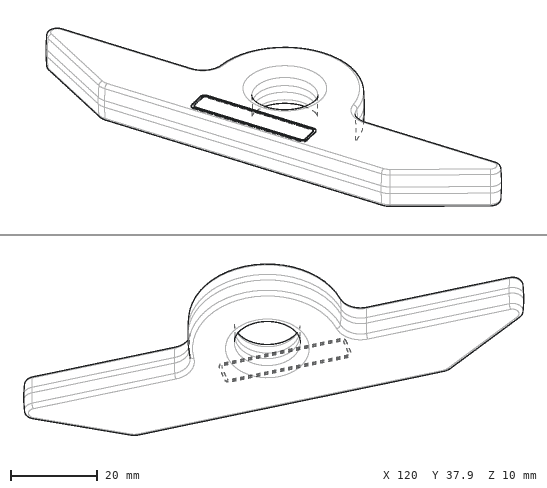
import cadquery as cq
import math

length = 120.0
thickness = 10.0
band_height = 1.8
draft_angle = 3.0
eye_radius = 18.4
hole_diameter = 15.0
bottom_y = -19.5
shoulder_y = -2.5
slope_angle = 30.0
neck_radius = 4.8
tip_radius = 2.6
bottom_corner_radius = 4.0
rim_radius = 1.0
hole_rim_radius = 2.0

frame_length = 30.5
frame_width = 6.2
frame_groove = 0.6
frame_depth = 0.2
frame_corner_radius = 1.1
frame_y = -14.5

half_length = length / 2
half_thickness = thickness / 2
half_band = band_height / 2
draft_height = half_thickness - half_band
hole_radius = hole_diameter / 2
slope = math.radians(slope_angle)
tip_x = half_length - tip_radius + tip_radius / math.tan(slope / 2)
bottom_corner_x = tip_x - (shoulder_y - bottom_y) / math.tan(slope)


def wing_bar():
    """Bar with sloped ends, up to half the band height, corners rounded."""
    bar = (
        cq.Workplane("XY")
        .polyline([
            (-tip_x, shoulder_y),
            (-bottom_corner_x, bottom_y),
            (bottom_corner_x, bottom_y),
            (tip_x, shoulder_y),
        ])
        .close()
        .extrude(half_band)
    )
    bar = bar.edges("|Z and (<X or >X)").fillet(tip_radius)
    return bar.edges("|Z and <Y").fillet(bottom_corner_radius)


def half_band_body():
    """Upper half of the straight band: bar and eye joined with rounded necks."""
    eye = cq.Workplane("XY").circle(eye_radius).extrude(half_band)
    body = wing_bar().union(eye)
    neck_x = math.sqrt(eye_radius ** 2 - shoulder_y ** 2)
    for side in (-1, 1):
        neck = cq.selectors.NearestToPointSelector((side * neck_x, shoulder_y, half_band / 2))
        body = body.edges("|Z").edges(neck).fillet(neck_radius)
    return body


def half_hole():
    """Upper half of the eye hole: straight at the band, then widening with the draft."""
    mouth_radius = hole_radius + draft_height * math.tan(math.radians(draft_angle))
    return (
        cq.Workplane("XZ")
        .polyline([
            (0, 0),
            (hole_radius, 0),
            (hole_radius, half_band),
            (mouth_radius, half_thickness),
            (0, half_thickness),
        ])
        .close()
        .revolve(360, (0, 0, 0), (0, 1, 0))
    )


def upper_half():
    """Everything above the middle plane, with rounded rims on the top face."""
    band = half_band_body()
    drafted = band.faces(">Z").wires().toPending().workplane().extrude(
        draft_height, taper=draft_angle, combine=False
    )
    body = band.union(drafted)
    body = body.faces(">Z").edges().fillet(rim_radius)
    body = body.cut(half_hole())
    hole_rim = cq.selectors.NearestToPointSelector((0, 0, half_thickness))
    return body.faces(">Z").edges(hole_rim).fillet(hole_rim_radius)


def label_frame():
    """Rounded rectangular groove sunk into the top face."""
    def block(inset):
        return (
            cq.Workplane("XY", origin=(0, frame_y, half_thickness - frame_depth))
            .rect(frame_length - 2 * inset, frame_width - 2 * inset)
            .extrude(frame_depth)
            .edges("|Z")
            .fillet(frame_corner_radius - inset)
        )

    return block(0).cut(block(frame_groove))


top = upper_half()
result = top.union(top.mirror("XY")).cut(label_frame())